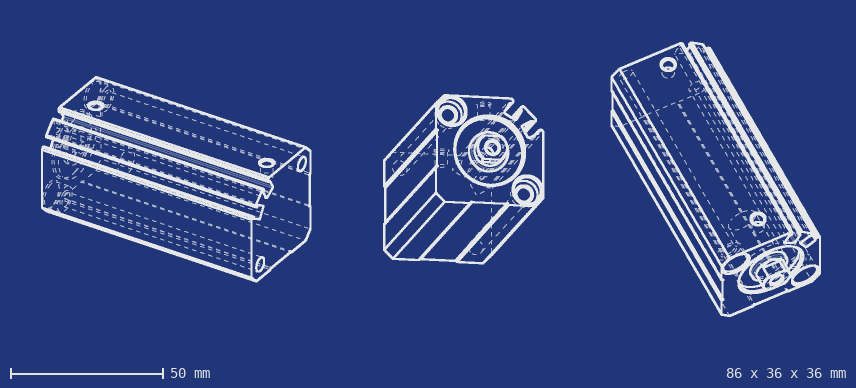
import cadquery as cq
import math

total_length = 86.0
body_start = 4.5
body_length = total_length - body_start
body_width = 36.0
half_width = body_width / 2
hole_chamfer = 0.5

corner_leg = 2.9
slotted_corner_leg = 9.1
groove_half_width = 6.45
groove_floor_half_width = 5.85
groove_depth = 0.35
notch_offset = 6.0
notch_depth = 0.6

slot_angles = (30, 60)
slot_floor = 13.7
slot_wall_end = 17.55
slot_mouth_start = 18.1
slot_mouth_end = 18.8
slot_lip_corner = 19.1
slot_flare_end = 19.3
slot_cutter_end = half_width * math.sqrt(2)
slot_half_width = 2.3
slot_mouth_half_width = 1.6
slot_lip_half_width = 1.9
slot_flare_half_width = 2.9
slot_floor_fillet = 0.4

recess_diameter = 22.8
recess_depth = 2.2
collar_diameter = 13.0
collar_height = 1.7
collar_fillet = 0.5

mount_offset = 12.7
mount_diameter = 4.9
counterbore_diameter = 9.0
counterbore_depth = 5.5

thread_diameter = 4.1
thread_mouth_diameter = 5.0
thread_chamfer = (thread_mouth_diameter - thread_diameter) / 2
port_positions = (13.9, 80.4)
port_depth = 5.2

rod_diameter = 10.0
rod_length = 25.8
rod_tip_chamfer = 0.2
flats_width = 8.0
flat_length = 4.0
rod_hole_depth = 8.6
drill_point_angle = 118


def x_cylinder(diameter, start, length):
    """Cylinder along the X axis that begins at x = start."""
    return cq.Workplane("YZ", origin=(start, 0, 0)).circle(diameter / 2).extrude(length)


def x_cone(start_radius, end_radius, start, length):
    """Cone along the X axis that begins at x = start."""
    base = cq.Vector(start, 0, 0)
    axis = cq.Vector(1, 0, 0)
    return cq.Workplane(cq.Solid.makeCone(start_radius, end_radius, length, base, axis))


def mouth_cone(diameter, chamfer, start):
    """Cutter for a 45-degree chamfer where a hole along X opens at x = start."""
    radius = diameter / 2
    return x_cone(radius + chamfer, radius, start, chamfer)


def body_extrusion(points):
    """Prism with a (y, z) outline that runs the length of the housing."""
    return cq.Workplane("YZ", origin=(body_start, 0, 0)).polyline(points).close().extrude(body_length)


def groove_edge(side):
    """Half of a shallow groove as (distance along the face, depth), ending in a small V-notch."""
    return [
        (side * groove_half_width, 0),
        (side * notch_offset, notch_depth),
        (side * groove_floor_half_width, groove_depth),
    ]


def housing_outline():
    """Chamfered square in (y, z), counterclockwise, with grooves on its +Y and -Z sides."""
    groove = groove_edge(-1) + groove_edge(1)[::-1]
    plain = half_width - corner_leg
    slotted = half_width - slotted_corner_leg
    return [
        (half_width, -plain),
        *[(half_width - depth, along) for along, depth in groove],
        (half_width, plain),
        (plain, half_width),
        (-slotted, half_width),
        (-half_width, slotted),
        (-half_width, -plain),
        (-plain, -half_width),
        *[(along, depth - half_width) for along, depth in groove],
        (plain, -half_width),
    ]


def sensor_slot(angle):
    """Cutter for a slot with lips at its mouth, angled up from the -Y direction."""
    half_profile = [
        (slot_floor, slot_half_width),
        (slot_wall_end, slot_half_width),
        (slot_mouth_start, slot_mouth_half_width),
        (slot_mouth_end, slot_mouth_half_width),
        (slot_lip_corner, slot_lip_half_width),
        (slot_flare_end, slot_flare_half_width),
        (slot_cutter_end, slot_flare_half_width),
    ]
    mirrored_half = [(distance, -offset) for distance, offset in reversed(half_profile)]
    slot = body_extrusion(half_profile + mirrored_half)
    slot = slot.edges("|X and <Y").fillet(slot_floor_fillet)
    return slot.rotate((0, 0, 0), (1, 0, 0), 180 - angle)


def front_recess():
    """Cutter for the round recess, leaving the collar standing on its floor."""
    recess = x_cylinder(recess_diameter, body_start, recess_depth)
    recess = recess.union(mouth_cone(recess_diameter, hole_chamfer, body_start))
    collar_front = body_start + recess_depth - collar_height
    collar = x_cylinder(collar_diameter, collar_front, collar_height)
    collar = collar.faces("<X").edges().fillet(collar_fillet)
    return recess.cut(collar)


def mount_hole(y, z):
    """Cutter for a through hole with a counterbore at the front, both chamfered."""
    hole = x_cylinder(mount_diameter, body_start, body_length)
    hole = hole.union(x_cylinder(counterbore_diameter, body_start, counterbore_depth))
    hole = hole.union(mouth_cone(counterbore_diameter, hole_chamfer, body_start))
    hole = hole.union(mouth_cone(mount_diameter, hole_chamfer, body_start + counterbore_depth))
    return hole.translate((0, y, z))


def threaded_hole(depth):
    """Cutter for a chamfered hole along +X that opens at x = 0."""
    return x_cylinder(thread_diameter, 0, depth).union(mouth_cone(thread_diameter, thread_chamfer, 0))


def air_port(x):
    """Cutter for a port that goes down from the top face."""
    port = threaded_hole(port_depth).rotate((0, 0, 0), (0, 1, 0), 90)
    return port.translate((x, 0, half_width))


def make_housing():
    housing = body_extrusion(housing_outline())
    for angle in slot_angles:
        housing = housing.cut(sensor_slot(angle))
    housing = housing.cut(front_recess())
    for offset in (mount_offset, -mount_offset):
        housing = housing.cut(mount_hole(offset, offset))
    for x in port_positions:
        housing = housing.cut(air_port(x))
    rod_bore = x_cylinder(rod_diameter, 0, rod_length)
    return housing.cut(rod_bore)


def wrench_flat(side):
    """Cutter for one flat at the rod tip, ending in a 45-degree ramp; side is +1 (up) or -1 (down)."""
    rod_radius = rod_diameter / 2
    flat_height = flats_width / 2
    ramp = rod_radius - flat_height
    outline = [
        (0, side * flat_height),
        (flat_length, side * flat_height),
        (flat_length + ramp, side * rod_radius),
        (0, side * rod_radius),
    ]
    return cq.Workplane("XZ").polyline(outline).close().extrude(rod_radius, both=True)


def rod_hole():
    """Cutter for the threaded rod end, with a conical drill point."""
    radius = thread_diameter / 2
    point_length = radius / math.tan(math.radians(drill_point_angle / 2))
    return threaded_hole(rod_hole_depth).union(x_cone(radius, 0, rod_hole_depth, point_length))


def make_rod():
    rod = x_cylinder(rod_diameter, 0, rod_length).faces("<X").chamfer(rod_tip_chamfer)
    for side in (1, -1):
        rod = rod.cut(wrench_flat(side))
    return rod.cut(rod_hole())


housing = make_housing()
rod = make_rod()
result = cq.Compound.makeCompound([housing.val(), rod.val()])